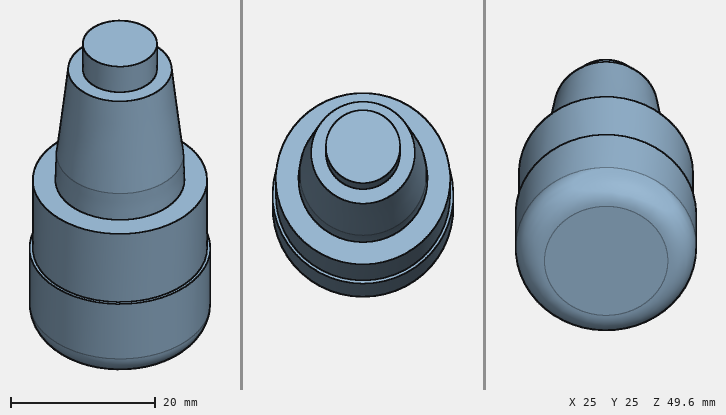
import cadquery as cq

total_height = 49.6
cap_height = 13.6
barrel_top = 25.6
collar_top = 30.15
cone_top = 45.1

cap_diameter = 25.0
barrel_diameter = 24.1
collar_base_diameter = 17.85
collar_top_diameter = 17.55
cone_top_diameter = 14.35
tip_diameter = 10.25

cap_edge_radius = 3.95


def make_cap():
    """Solid round cap with a rounded bottom edge."""
    cap = cq.Workplane("XY").circle(cap_diameter / 2).extrude(cap_height)
    return cap.faces("<Z").edges().fillet(cap_edge_radius)


def make_plug():
    """Turned plug: barrel, slightly tapered collar, cone and cylindrical tip."""
    barrel_radius = barrel_diameter / 2
    tip_radius = tip_diameter / 2
    half_profile = [
        (0, cap_height),
        (barrel_radius, cap_height),
        (barrel_radius, barrel_top),
        (collar_base_diameter / 2, barrel_top),
        (collar_top_diameter / 2, collar_top),
        (cone_top_diameter / 2, cone_top),
        (tip_radius, cone_top),
        (tip_radius, total_height),
        (0, total_height),
    ]
    return cq.Workplane("XZ").polyline(half_profile).close().revolve(360, (0, 0), (0, 1))


cap = make_cap()
plug = make_plug()
result = cq.Compound.makeCompound([cap.val(), plug.val()])